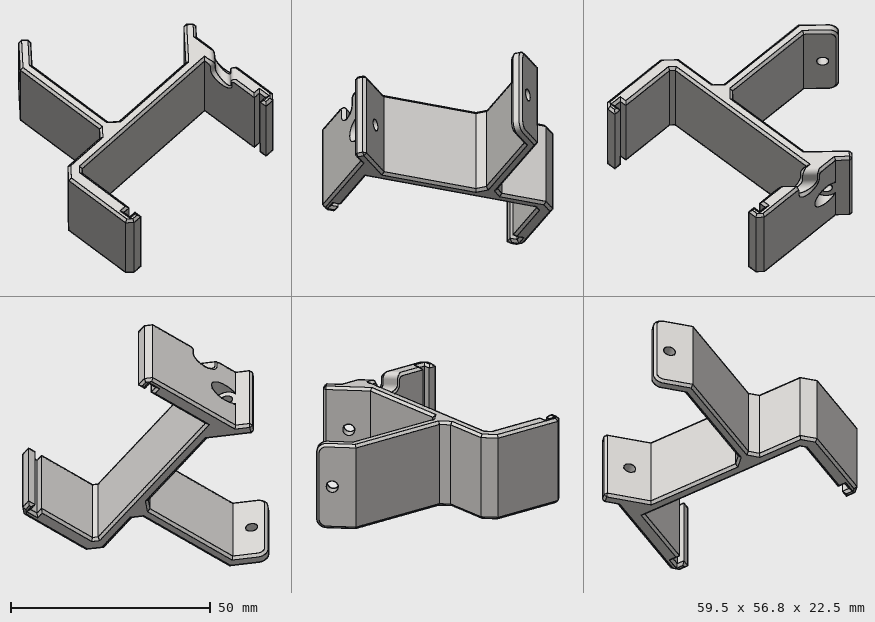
import cadquery as cq
import math

WIDTH = 59.48
DEPTH = 56.8
HEIGHT = 22.5
WALL = 3.1
RIM_CHAMFER = 0.7
DIAGONAL = math.sqrt(2)

JAW_REACH = 20.85
JAW_THICKNESS = 4.0
JAW_TOP = 54.35
JAW_BOTTOM = JAW_TOP - JAW_THICKNESS
NOSE_CHAMFER = 1.5
LIP_THICKNESS = 2.0
NOTCH_WIDTH = 2.0
NOTCH_END = JAW_REACH - LIP_THICKNESS
NOTCH_START = NOTCH_END - NOTCH_WIDTH
NOTCH_DEPTH = 1.9
INNER_CORNER_CHAMFER = 1.0

FINGER_THICKNESS = 3.0
FINGER_SHIFT = FINGER_THICKNESS * DIAGONAL
LOWER_FINGER_SUM = -15.05
UPPER_FINGER_SUM = 43.65
TIP_CORNER_RADIUS = 2.5
ARM_BOTTOM = 17.0
ARM_TOP = ARM_BOTTOM + FINGER_THICKNESS
ARM_GUSSET = 2.0

SCREW_OFFSET = 57.55
SCREW_DIAMETER = 3.0
SCREW_HEAD_DIAMETER = 6.0

GROOVE_SUM = 56.7
GROOVE_RADIUS = 1.875
GROOVE_DEPTH = 4.7
MOUTH_RADIUS = 1.5
HALF_MOUTH = GROOVE_RADIUS + MOUTH_RADIUS
FLOOR_CENTRE = GROOVE_RADIUS - GROOVE_DEPTH

BEVEL_DEPTH = 1.5
BEVEL_OVERSHOOT = 0.3
BEVEL_HEADROOM = 2.0
ARC_STEPS = 12

CUT_MARGIN = 1.0
TANGENCY_LIMIT = 0.999


def finger_end(lower_sum, end_difference):
    """Lower and upper corner of a finger's square end, which lies on y - x = end_difference."""
    sums = (lower_sum, lower_sum + FINGER_SHIFT)
    return [((s - end_difference) / 2, (s + end_difference) / 2) for s in sums]


TIP_SETBACK = RIM_CHAMFER / DIAGONAL
TIP_Y = DEPTH + TIP_SETBACK
TIP_X = JAW_REACH - WIDTH - TIP_SETBACK
UPPER_END = finger_end(UPPER_FINGER_SUM, 2 * TIP_Y - UPPER_FINGER_SUM - FINGER_SHIFT)
LOWER_END = finger_end(LOWER_FINGER_SUM, LOWER_FINGER_SUM - 2 * TIP_X)


def clip_profile():
    points = [
        (0, 0),
        (JAW_REACH - NOSE_CHAMFER, 0),
        (JAW_REACH, NOSE_CHAMFER),
        (JAW_REACH, JAW_THICKNESS),
        (NOTCH_END, JAW_THICKNESS),
        (NOTCH_END, JAW_THICKNESS - NOTCH_DEPTH),
        (NOTCH_START, JAW_THICKNESS - NOTCH_DEPTH),
        (NOTCH_START, JAW_THICKNESS),
        (INNER_CORNER_CHAMFER, JAW_THICKNESS),
        (0, JAW_THICKNESS + INNER_CORNER_CHAMFER),
        (0, JAW_BOTTOM),
        (NOTCH_START, JAW_BOTTOM),
        (NOTCH_START, JAW_BOTTOM + NOTCH_DEPTH),
        (NOTCH_END, JAW_BOTTOM + NOTCH_DEPTH),
        (NOTCH_END, JAW_BOTTOM),
        (JAW_REACH, JAW_BOTTOM),
        (JAW_REACH, JAW_TOP - NOSE_CHAMFER),
        (JAW_REACH - NOSE_CHAMFER, JAW_TOP),
        (UPPER_FINGER_SUM + FINGER_SHIFT - JAW_TOP, JAW_TOP),
        UPPER_END[1],
        UPPER_END[0],
        (-WALL, UPPER_FINGER_SUM + WALL),
        (-WALL, ARM_TOP + ARM_GUSSET),
        (-WALL - ARM_GUSSET, ARM_TOP),
        (LOWER_FINGER_SUM + FINGER_SHIFT - ARM_TOP, ARM_TOP),
        LOWER_END[1],
        LOWER_END[0],
        (LOWER_FINGER_SUM - ARM_BOTTOM, ARM_BOTTOM),
        (-WALL - ARM_GUSSET, ARM_BOTTOM),
        (-WALL, ARM_BOTTOM - ARM_GUSSET),
        (-WALL, WALL),
    ]
    return cq.Workplane("XY").polyline(points).close()


def round_lower_tip(body):
    """Round the top and bottom corner of the lower finger's end, in the plane of the finger."""
    (left, low), (right, high) = LOWER_END
    end_region = cq.selectors.BoxSelector(
        (left, low, -CUT_MARGIN), (right, high, HEIGHT + CUT_MARGIN)
    )
    return body.edges("#Z").edges(end_region).fillet(TIP_CORNER_RADIUS)


def is_sharp(edge, solid):
    """True where the two faces beside an edge meet at an angle rather than smoothly."""
    middle = edge.positionAt(0.5)
    first, second = [face.normalAt(middle) for face in edge.ancestors(solid, "Face").Faces()]
    return abs(first.dot(second)) < TANGENCY_LIMIT


def is_profile_corner(edge):
    """True for full-height vertical edges, apart from the two at the end of the upper finger."""
    start, end = edge.startPoint(), edge.endPoint()
    if abs(end.z - start.z) < HEIGHT - RIM_CHAMFER:
        return False
    return all(math.dist((start.x, start.y), corner) > RIM_CHAMFER for corner in UPPER_END)


def chamfer_rims(body):
    """Bevel the rims of both flat sides and all edges of the finger ends."""
    solid = body.val()
    rims = [e for e in body.edges().vals() if is_sharp(e, solid) and not is_profile_corner(e)]
    return body.newObject(rims).chamfer(RIM_CHAMFER)


def groove_cutter():
    """Round-bottomed slot with rounded mouth edges, running along the (1, -1) direction."""
    bend = math.sqrt(0.5)
    mouth_u = HALF_MOUTH - MOUTH_RADIUS * bend
    mouth_z = -MOUTH_RADIUS * (1 - bend)
    middle_y = (JAW_TOP + JAW_BOTTOM) / 2
    plane = cq.Plane(
        origin=(GROOVE_SUM - middle_y, middle_y, HEIGHT), xDir=(1, 1, 0), normal=(1, -1, 0)
    )
    return (
        cq.Workplane(plane)
        .moveTo(-HALF_MOUTH, 0)
        .threePointArc((-mouth_u, mouth_z), (-GROOVE_RADIUS, -MOUTH_RADIUS))
        .lineTo(-GROOVE_RADIUS, FLOOR_CENTRE)
        .threePointArc((0, -GROOVE_DEPTH), (GROOVE_RADIUS, FLOOR_CENTRE))
        .lineTo(GROOVE_RADIUS, -MOUTH_RADIUS)
        .threePointArc((mouth_u, mouth_z), (HALF_MOUTH, 0))
        .close()
        .extrude(2 * JAW_THICKNESS, both=True)
    )


def groove_arc(centre, radius, start, end, material_side):
    """Points along an arc of the groove outline, each with its unit direction into the material."""
    arc = []
    for step in range(ARC_STEPS + 1):
        angle = math.radians(start + (end - start) * step / ARC_STEPS)
        du, dz = math.cos(angle), math.sin(angle)
        point = (centre[0] + radius * du, centre[1] + radius * dz)
        arc.append((point, (material_side * du, material_side * dz)))
    return arc


def groove_outline():
    """The groove outline from left to right, as arcs and straight walls.

    In each point (u, z), u is the distance from the middle plane and z the height above the mouth.
    """
    left_mouth = groove_arc((-HALF_MOUTH, -MOUTH_RADIUS), MOUTH_RADIUS, 90, 0, -1)
    floor = groove_arc((0, FLOOR_CENTRE), GROOVE_RADIUS, 180, 360, 1)
    right_mouth = groove_arc((HALF_MOUTH, -MOUTH_RADIUS), MOUTH_RADIUS, 180, 90, -1)
    left_wall = [left_mouth[-1], floor[0]]
    right_wall = [floor[-1], right_mouth[0]]
    return [left_mouth, left_wall, floor, right_wall, right_mouth]


def bevel_point(point, into_material, face_y, outward, depth):
    """Point of the groove's end bevel at the given depth below the jaw face.

    The bevel joins the places where a ball of radius RIM_CHAMFER, inside the material,
    touches the jaw face and the groove wall, so it is wide where the two meet at an acute angle.
    """
    ball_u = point[0] + RIM_CHAMFER * into_material[0]
    ball_y = face_y - outward * RIM_CHAMFER
    ball_x = GROOVE_SUM + DIAGONAL * ball_u - ball_y
    ball_z = HEIGHT + point[1] + RIM_CHAMFER * into_material[1]
    side_step = RIM_CHAMFER * into_material[0] / DIAGONAL
    share = depth / (RIM_CHAMFER + outward * side_step)
    x = ball_x - share * side_step
    z = ball_z - share * RIM_CHAMFER * into_material[1]
    return cq.Vector(x, face_y - outward * depth, z)


def bevel_section(face_y, outward, depth):
    """Closed wire of the bevel cutter at the given depth below the jaw face."""
    edges = []
    for piece in groove_outline():
        points = [bevel_point(point, into, face_y, outward, depth) for point, into in piece]
        even_steps = [step / (len(points) - 1) for step in range(len(points))]
        edges.append(cq.Edge.makeSpline(points, parameters=even_steps))
    left = edges[0].startPoint()
    right = edges[-1].endPoint()
    lid_z = HEIGHT + BEVEL_HEADROOM
    lid = [right, cq.Vector(right.x, right.y, lid_z), cq.Vector(left.x, left.y, lid_z), left]
    edges += [cq.Edge.makeLine(start, end) for start, end in zip(lid, lid[1:])]
    return cq.Wire.assembleEdges(edges)


def groove_bevel(face_y, outward):
    """Cutter for the bevel where the groove leaves the jaw face at face_y, facing outward * Y."""
    sections = [bevel_section(face_y, outward, depth) for depth in (-BEVEL_OVERSHOOT, BEVEL_DEPTH)]
    return cq.Workplane(cq.Solid.makeLoft(sections, True))


def screw_cylinder(diameter, start_sum):
    """Long cylinder on the screw axis, running along (1, 1) from x + y = start_sum."""
    origin = ((start_sum - SCREW_OFFSET) / 2, (start_sum + SCREW_OFFSET) / 2, HEIGHT / 2)
    plane = cq.Plane(origin=origin, xDir=(0, 0, 1), normal=(1, 1, 0))
    return cq.Workplane(plane).circle(diameter / 2).extrude(WIDTH)


body = clip_profile().extrude(HEIGHT)
body = round_lower_tip(body)
body = chamfer_rims(body)

body = body.cut(groove_bevel(JAW_TOP, 1))
body = body.cut(groove_bevel(JAW_BOTTOM, -1))
body = body.cut(groove_cutter())

body = body.cut(screw_cylinder(SCREW_DIAMETER, LOWER_FINGER_SUM - CUT_MARGIN))
result = body.cut(screw_cylinder(SCREW_HEAD_DIAMETER, UPPER_FINGER_SUM + FINGER_SHIFT))